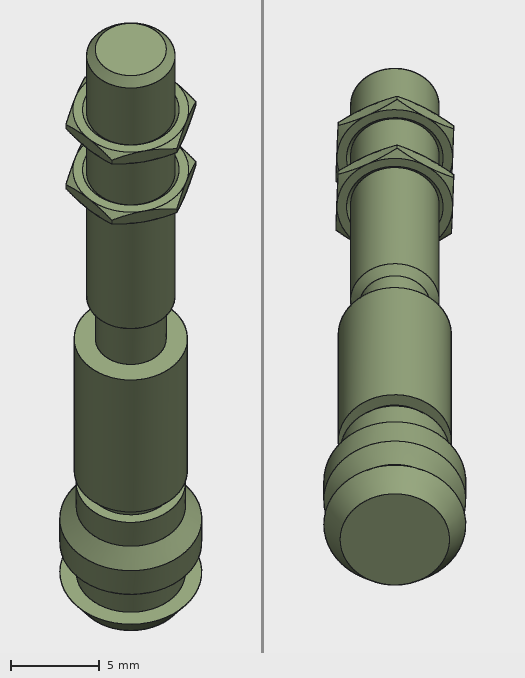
import cadquery as cq
import math

total_height = 45.0
lip_top = 1.55
flange_bottom = 3.0
flange_rim_bottom = 4.0
flange_rim_top = 6.0
flange_top = 7.0
collar_top = 9.0
sleeve_bottom = 10.0
sleeve_top = 20.95
shank_bottom = 24.0

flange_diameter = 8.0
collar_diameter = 6.15
sleeve_diameter = 6.4
shank_diameter = 5.0
neck_diameter = 4.0

nut_thickness = 0.9
nut_across_flats = 6.52
nut_chamfer_angle = 30.0
nut_countersink = 0.22
nut_pitch = 5.0
upper_nut_bottom = 39.1
nut_count = 2

flange_radius = flange_diameter / 2
collar_radius = collar_diameter / 2
sleeve_radius = sleeve_diameter / 2
shank_radius = shank_diameter / 2
neck_radius = neck_diameter / 2
shank_chamfer = shank_radius - neck_radius


def make_rod():
    """Turned rod: lip and flange at the bottom, sleeve, neck and chamfered shank above."""
    half_profile = [
        (0, 0),
        (collar_radius, 0),
        (flange_radius, lip_top),
        (collar_radius, lip_top),
        (collar_radius, flange_bottom),
        (flange_radius, flange_rim_bottom),
        (flange_radius, flange_rim_top),
        (collar_radius, flange_top),
        (collar_radius, collar_top),
        (shank_radius, collar_top),
        (shank_radius, sleeve_bottom),
        (sleeve_radius, sleeve_bottom),
        (sleeve_radius, sleeve_top),
        (neck_radius, sleeve_top),
        (neck_radius, shank_bottom),
        (shank_radius, shank_bottom + shank_chamfer),
        (shank_radius, total_height - shank_chamfer),
        (neck_radius, total_height),
        (0, total_height),
    ]
    return cq.Workplane("XZ").polyline(half_profile).close().revolve(360, (0, 0), (0, 1))


def make_nut(bottom):
    """Thin hexagonal nut with chamfered corners and a bore countersunk at both ends."""
    corner_radius = nut_across_flats / 2 / math.cos(math.radians(30))
    face_radius = nut_across_flats / 2
    corner_drop = (corner_radius - face_radius) * math.tan(math.radians(nut_chamfer_angle))
    countersink_radius = shank_radius + nut_countersink

    hexagon = cq.Workplane("XY").polygon(6, 2 * corner_radius).extrude(nut_thickness)

    ring_profile = [
        (countersink_radius, 0),
        (face_radius, 0),
        (corner_radius, corner_drop),
        (corner_radius, nut_thickness - corner_drop),
        (face_radius, nut_thickness),
        (countersink_radius, nut_thickness),
        (shank_radius, nut_thickness - nut_countersink),
        (shank_radius, nut_countersink),
    ]
    ring = cq.Workplane("XZ").polyline(ring_profile).close().revolve(360, (0, 0), (0, 1))
    return hexagon.intersect(ring).translate((0, 0, bottom))


rod = make_rod()
nuts = [make_nut(upper_nut_bottom - i * nut_pitch) for i in range(nut_count)]

nut_solids = [nut.val().Solids()[0] for nut in nuts]

result = cq.Compound.makeCompound([rod.val(), *nut_solids])